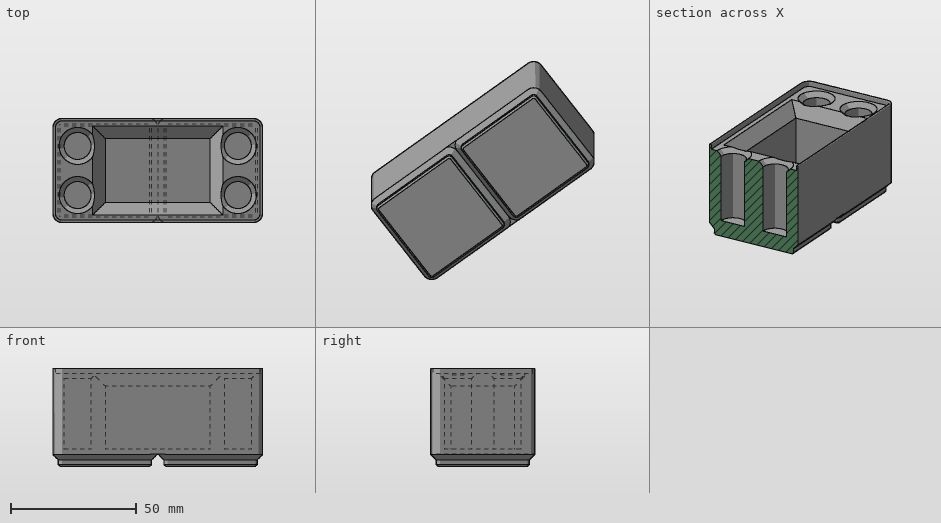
import cadquery as cq

grid_pitch = 42.0
cells_x = 2
clearance = 0.5
length = cells_x * grid_pitch - clearance
width = grid_pitch - clearance
height = 39.0
cell_corner_radius = 4.0
body_corner_radius = cell_corner_radius - clearance / 2

foot_lower_chamfer = 0.8
foot_straight = 1.8
foot_upper_chamfer = 2.4
foot_height = foot_lower_chamfer + foot_straight + foot_upper_chamfer

rim_height = 2.0
rim_thickness = 1.0
rim_fillet = 0.3
deck_z = height - rim_height

pocket_length = 41.75
pocket_width = 25.4
pocket_mouth = 5.0
floor_z = 7.0

hole_diameter = 10.75
hole_countersink = 2.0
hole_spacing_x = 63.75
hole_spacing_y = 19.55


def rounded_block(size_x, size_y, radius, bottom_z, block_height):
    """Upright block, centred in plan, with rounded vertical edges."""
    block = cq.Workplane("XY").workplane(offset=bottom_z).rect(size_x, size_y).extrude(block_height)
    return block.edges("|Z").fillet(radius)


def tapered_block(size_x, size_y, radius, bottom_z, block_height):
    """Rounded block, given by its bottom, whose sides flare out at 45 degrees going up."""
    outline = cq.Sketch().rect(size_x, size_y).vertices().fillet(radius)
    return cq.Workplane("XY").workplane(offset=bottom_z).placeSketch(outline).extrude(block_height, taper=-45)


def make_foot():
    """Stepped foot of one cell: chamfer, straight band, then a flare out to the full cell."""
    neck_size = grid_pitch - 2 * foot_upper_chamfer
    neck_radius = cell_corner_radius - foot_upper_chamfer
    base_size = neck_size - 2 * foot_lower_chamfer
    base_radius = neck_radius - foot_lower_chamfer
    flare_z = foot_lower_chamfer + foot_straight
    base = tapered_block(base_size, base_size, base_radius, 0, foot_lower_chamfer)
    neck = rounded_block(neck_size, neck_size, neck_radius, foot_lower_chamfer, foot_straight)
    flare = tapered_block(neck_size, neck_size, neck_radius, flare_z, foot_upper_chamfer)
    return base.union(neck).union(flare)


def make_feet():
    """Row of feet, trimmed to the outline of the body."""
    foot = make_foot()
    feet = cq.Workplane("XY")
    for cell in range(cells_x):
        cell_x = (cell - (cells_x - 1) / 2) * grid_pitch
        feet = feet.union(foot.translate((cell_x, 0, 0)))
    return feet.intersect(rounded_block(length, width, body_corner_radius, 0, foot_height))


def make_body():
    """Solid upper block above the feet."""
    return rounded_block(length, width, body_corner_radius, foot_height, height - foot_height)


def make_rim_recess():
    """Space enclosed by the rim, above the deck."""
    recess_length = length - 2 * rim_thickness
    recess_width = width - 2 * rim_thickness
    recess_radius = body_corner_radius - rim_thickness
    return rounded_block(recess_length, recess_width, recess_radius, deck_z, rim_height)


def make_pocket():
    """Rectangular pocket with 45 degree slopes leading in from the deck."""
    mouth_z = deck_z - pocket_mouth
    shaft = cq.Workplane("XY").workplane(offset=floor_z).rect(pocket_length, pocket_width)
    shaft = shaft.extrude(deck_z - floor_z)
    mouth = cq.Workplane("XY").workplane(offset=mouth_z).rect(pocket_length, pocket_width)
    mouth = mouth.workplane(offset=pocket_mouth)
    mouth = mouth.rect(pocket_length + 2 * pocket_mouth, pocket_width + 2 * pocket_mouth).loft(ruled=True)
    return shaft.union(mouth)


def make_hole():
    """Blind round hole with a 45 degree countersink at the deck."""
    radius = hole_diameter / 2
    profile = cq.Workplane("XZ").moveTo(0, floor_z).lineTo(radius, floor_z)
    profile = profile.lineTo(radius, deck_z - hole_countersink)
    profile = profile.lineTo(radius + hole_countersink, deck_z).lineTo(0, deck_z).close()
    return profile.revolve(360, (0, 0, 0), (0, 1, 0))


def cut_holes(part):
    """Cut the four holes, two at each end."""
    hole = make_hole()
    for side_x in (-1, 1):
        for side_y in (-1, 1):
            centre = (side_x * hole_spacing_x / 2, side_y * hole_spacing_y / 2, 0)
            part = part.cut(hole.translate(centre))
    return part


def round_rim(part):
    """Round over the outer and inner top edges of the rim."""
    return part.faces(">Z").edges().fillet(rim_fillet)


result = make_body().union(make_feet())
result = result.cut(make_rim_recess()).cut(make_pocket())
result = cut_holes(result)
result = round_rim(result)